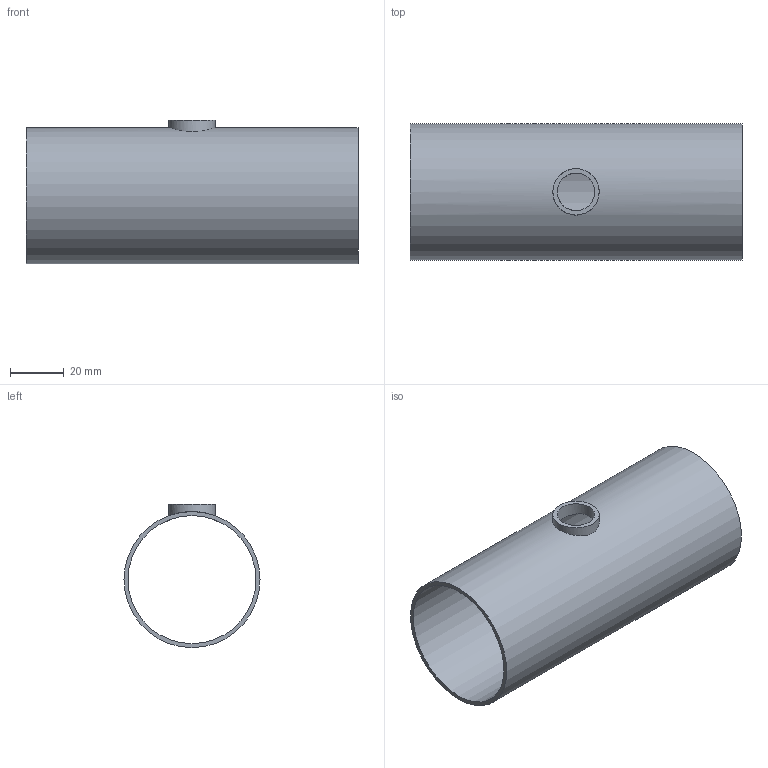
import cadquery as cq

pipe_length = 124.0
pipe_outer_diameter = 50.8
pipe_inner_diameter = 47.8

stub_outer_diameter = 17.3
stub_bore_diameter = 14.0
stub_projection = 2.7

pipe_outer_radius = pipe_outer_diameter / 2
stub_top = pipe_outer_radius + stub_projection


def pipe_cylinder(diameter):
    """Full-length cylinder along the pipe axis."""
    return cq.Workplane("YZ").circle(diameter / 2).extrude(pipe_length / 2, both=True)


def stub_cylinder(diameter):
    """Upright cylinder from the pipe axis to the top of the stub."""
    return cq.Workplane("XY").circle(diameter / 2).extrude(stub_top)


outer_body = pipe_cylinder(pipe_outer_diameter).union(stub_cylinder(stub_outer_diameter))
result = outer_body.cut(pipe_cylinder(pipe_inner_diameter)).cut(stub_cylinder(stub_bore_diameter))